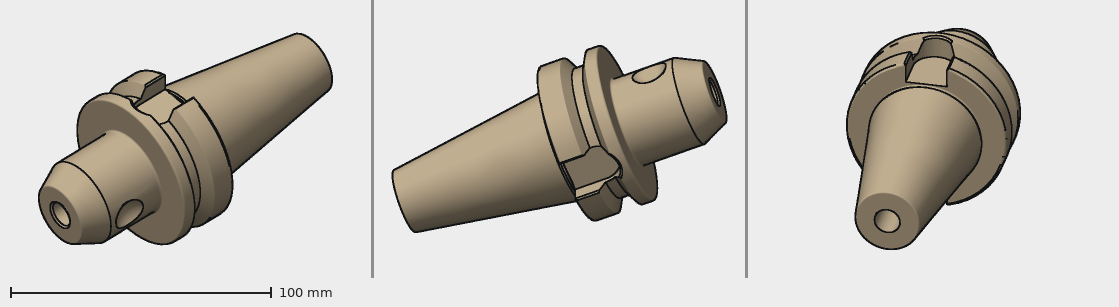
import cadquery as cq
import math

overall_length = 128.4

gauge_y = 62.9
gauge_radius = 22.2
taper_slope = 7 / 48
tail_radius = gauge_radius - taper_slope * (overall_length - gauge_y)
tail_fillet = 0.6

relief_radius = 21.7
relief_y = 62.1
relief_fillet = 0.6

flange_diameter = 63.0
flange_radius = flange_diameter / 2
flange_front_y = 36.1
flange_back_y = 61.0
flange_fillet = 0.9
groove_radius = 26.5
groove_front_y = 44.0
groove_back_y = 48.4
groove_flank_angle = 30
groove_lip_fillet = 0.4
groove_flank_width = (flange_radius - groove_radius) * math.tan(math.radians(groove_flank_angle))
groove_front_lip_y = groove_front_y - groove_flank_width
groove_back_lip_y = groove_back_y + groove_flank_width

nose_radius = 17.6
nose_tip_radius = 12.6
nose_cone_length = 10.5
nose_root_fillet = 0.9
nose_tip_fillet = 0.8

bore_radius = 5.0
bore_chamfer = 0.8

slot_width = 16.2
slot_floor_z = 22.5
slot_end_y = 39.7
slot_overrun = 1.3
slot_open_y = flange_back_y + slot_overrun
slot_chamfer = 0.8

dimple_y = 20.0
dimple_length = 13.9
dimple_sphere_radius = 8.2

edge_tolerance = 0.06
rim_tolerance = 0.01

rim_check_spots = (0, 0.3, 0.5, 1)


def ring_edges(y, radius):
    """Select the circular edges of the given radius around the Y axis at height y."""
    outer = radius + edge_tolerance
    inner = radius - edge_tolerance
    low = y - edge_tolerance
    high = y + edge_tolerance
    outer_box = cq.selectors.BoxSelector((-outer, low, -outer), (outer, high, outer), boundingbox=True)
    inner_box = cq.selectors.BoxSelector((-inner, low, -inner), (inner, high, inner), boundingbox=True)
    return outer_box - inner_box


def fillet_rings(body, rings):
    """Round the circular edges listed as (y, radius, fillet size)."""
    for y, radius, size in rings:
        body = body.edges(ring_edges(y, radius)).fillet(size)
    return body


def turned_body():
    profile = [
        (0, 0),
        (nose_tip_radius, 0),
        (nose_radius, nose_cone_length),
        (nose_radius, flange_front_y),
        (flange_radius, flange_front_y),
        (flange_radius, groove_front_lip_y),
        (groove_radius, groove_front_y),
        (groove_radius, groove_back_y),
        (flange_radius, groove_back_lip_y),
        (flange_radius, flange_back_y),
        (relief_radius, flange_back_y),
        (relief_radius, relief_y),
        (gauge_radius, gauge_y),
        (tail_radius, overall_length),
        (0, overall_length),
    ]
    body = cq.Workplane("XY").polyline(profile).close().revolve(360, (0, 0, 0), (0, 1, 0))
    return fillet_rings(
        body,
        [
            (0, nose_tip_radius, nose_tip_fillet),
            (flange_front_y, nose_radius, nose_root_fillet),
            (flange_back_y, relief_radius, relief_fillet),
            (overall_length, tail_radius, tail_fillet),
        ],
    )


def drive_slot():
    half = slot_width / 2
    return (
        cq.Workplane("XY")
        .workplane(offset=slot_floor_z)
        .moveTo(-half, slot_open_y)
        .lineTo(-half, slot_end_y + half)
        .threePointArc((0, slot_end_y), (half, slot_end_y + half))
        .lineTo(half, slot_open_y)
        .close()
        .extrude(flange_radius)
    )


def dimple():
    inset = math.sqrt(dimple_sphere_radius**2 - (dimple_length / 2) ** 2)
    return cq.Workplane("XY").sphere(dimple_sphere_radius).translate((nose_radius + inset, dimple_y, 0))


def on_slot_rim(edge):
    """True for the edges where a drive slot breaks through the outer cylinder of the flange."""
    spots = [edge.positionAt(t) for t in rim_check_spots]
    on_cylinder = all(abs(math.hypot(p.x, p.z) - flange_radius) < rim_tolerance for p in spots)
    within_slot = all(abs(p.x) < slot_width for p in spots)
    return on_cylinder and within_slot and edge.geomType() != "CIRCLE"


body = turned_body()
slot = drive_slot()
body = body.cut(slot).cut(slot.mirror("XY"))
slot_rims = [edge for edge in body.edges().vals() if on_slot_rim(edge)]
body = body.newObject(slot_rims).chamfer(slot_chamfer)

body = fillet_rings(
    body,
    [
        (flange_front_y, flange_radius, flange_fillet),
        (groove_front_lip_y, flange_radius, groove_lip_fillet),
        (groove_back_lip_y, flange_radius, groove_lip_fillet),
        (flange_back_y, flange_radius, flange_fillet),
    ],
)

body = body.cut(dimple()).cut(dimple().mirror("YZ"))
bore = cq.Workplane("XZ").circle(bore_radius).extrude(-overall_length)
body = body.cut(bore)
result = body.edges(ring_edges(0, bore_radius)).chamfer(bore_chamfer)